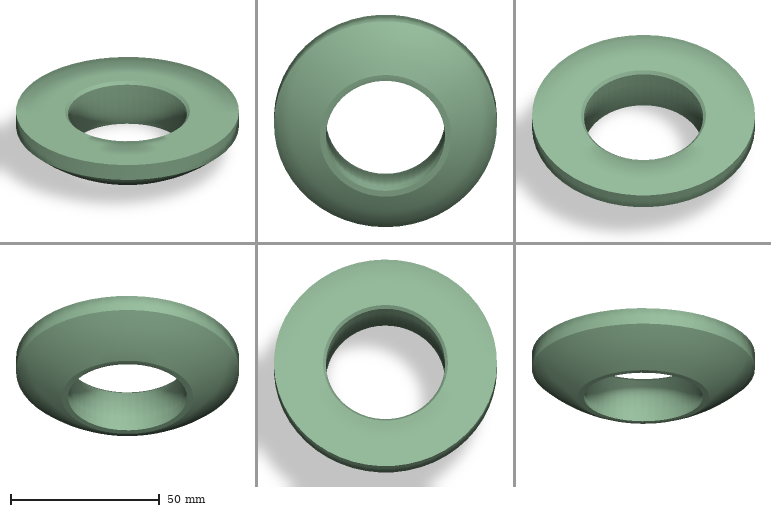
import cadquery as cq
import math

outer_radius = 37.5
height = 16.0
rim_height = 5.7

bore_radius = 20.0
bore_chamfer = 1.0

bottom_face_radius = 22.1
rim_bottom = height - rim_height
sphere_center_z = (outer_radius**2 + rim_bottom**2 - bottom_face_radius**2) / (2 * rim_bottom)
sphere_radius = math.hypot(bottom_face_radius, sphere_center_z)

seat_mid_radius = (bottom_face_radius + outer_radius) / 2
seat_mid_z = sphere_center_z - math.sqrt(sphere_radius**2 - seat_mid_radius**2)

section = (
    cq.Workplane("XZ")
    .moveTo(bore_radius, 0)
    .lineTo(bottom_face_radius, 0)
    .threePointArc((seat_mid_radius, seat_mid_z), (outer_radius, rim_bottom))
    .lineTo(outer_radius, height)
    .lineTo(bore_radius + bore_chamfer, height)
    .lineTo(bore_radius, height - bore_chamfer)
    .close()
)

result = section.revolve(360, (0, 0, 0), (0, 1, 0))